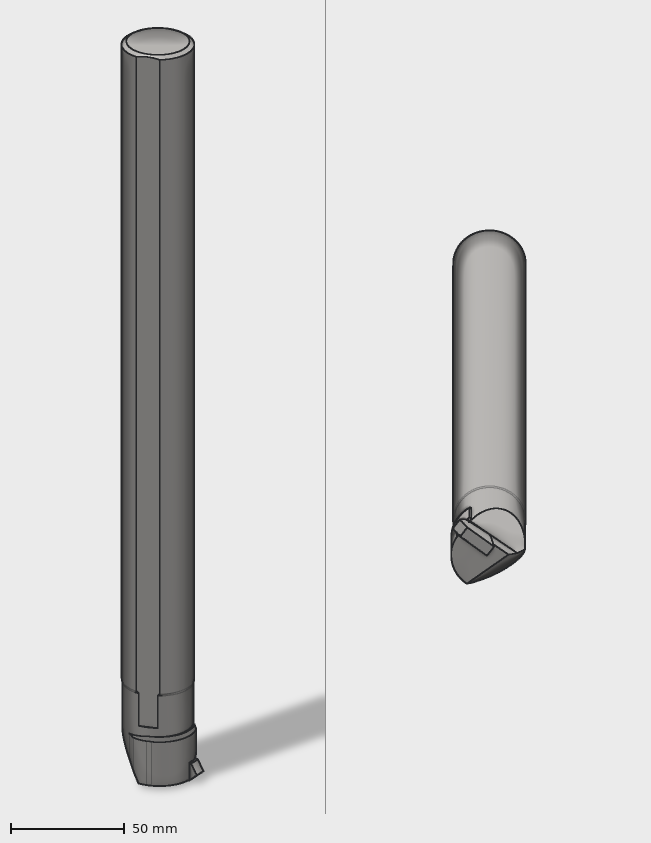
import cadquery as cq
import math

total_length = 356.5
bar_radius = 16.0
end_chamfer_width = 2.0
end_chamfer_height = 1.5

flat_depth = 0.93
flat_y = flat_depth - bar_radius
flat_bottom_z = 30.0

neck_step = 0.32
neck_radius = bar_radius - neck_step
neck_top_z = 45.5
neck_taper_height = 1.0
head_bottom_z = 2.0

boss_flat_y = -16.5
boss_flat_depth = 0.05
boss_radius = boss_flat_depth - boss_flat_y
boss_center_x = 0.7
boss_top_z = 25.5
boss_cone_height = 2.0
boss_back_y = 1.8

bevel_outer_x = -10.5
bevel_inner_x = -7.0
boss_bevel_outer = (bevel_outer_x, -math.sqrt(neck_radius**2 - bevel_outer_x**2))
boss_bevel_inner = (bevel_inner_x, -math.sqrt(boss_radius**2 - (bevel_inner_x - boss_center_x) ** 2))

slope_top = (-bar_radius, 25.0)
slope_bottom = (-4.3, head_bottom_z)

side_clearance_x = 16.0
side_clearance_top_z = 10.5

rake_angle = 17.0
rake_origin = (3.2, 5.0)
chip_ceiling_z = 11.0
chip_ceiling_angle = 49.0

insert_thickness = 5.5
insert_tip_x = 21.0
insert_end_u = (insert_tip_x - rake_origin[0]) / math.cos(math.radians(rake_angle))
insert_outline = [
    (0, 0),
    (14.5, 1.0),
    (insert_end_u, 4.5),
    (15.7, 9.5),
    (2.0, chip_ceiling_z),
]

clear = 71.3


def block(x_range, y_range, z_range):
    """Box filling the given coordinate ranges."""
    sizes = [end - start for start, end in (x_range, y_range, z_range)]
    corner = (x_range[0], y_range[0], z_range[0])
    return cq.Workplane("XY").box(*sizes, centered=False).translate(corner)


def place_on_rake(body):
    """Turn a body about Z and move it so that its XZ plane becomes the rake plane."""
    turned = body.rotate((0, 0, 0), (0, 0, 1), -rake_angle)
    return turned.translate((rake_origin[0], rake_origin[1], 0))


def make_bar():
    """Revolved bar and neck with a flat along one side."""
    profile = [
        (0, head_bottom_z),
        (neck_radius, head_bottom_z),
        (neck_radius, neck_top_z),
        (bar_radius, neck_top_z + neck_taper_height),
        (bar_radius, total_length - end_chamfer_height),
        (bar_radius - end_chamfer_width, total_length),
        (0, total_length),
    ]
    bar = cq.Workplane("XZ").polyline(profile).close().revolve(360, (0, 0), (0, 1))
    flat = block((-clear, clear), (-clear, flat_y), (flat_bottom_z, total_length))
    return bar.cut(flat)


def make_boss():
    """Coned boss with a narrow flat, a bevelled -X side and a straight back."""
    boss = (
        cq.Workplane("XY", origin=(boss_center_x, 0, head_bottom_z))
        .circle(boss_radius)
        .extrude(boss_top_z - head_bottom_z)
        .faces(">Z")
        .chamfer(boss_cone_height, boss_radius - neck_radius)
    )
    outline = [
        (boss_bevel_outer[0], boss_back_y),
        boss_bevel_outer,
        boss_bevel_inner,
        (boss_bevel_inner[0], boss_flat_y),
        (clear, boss_flat_y),
        (clear, boss_back_y),
    ]
    return boss.intersect(cq.Workplane("XY").polyline(outline).close().extrude(boss_top_z))


def make_slope_cutter():
    """Wedge that removes the -X side of the head."""
    outline = [slope_top, slope_bottom, (slope_bottom[0], -clear), (-clear, -clear), (-clear, slope_top[1])]
    return cq.Workplane("XZ").polyline(outline).close().extrude(clear, both=True)


def make_chip_cutter():
    """Chip space in front of the rake plane, under a rising ceiling."""
    ceiling_end_z = chip_ceiling_z + clear * math.tan(math.radians(chip_ceiling_angle))
    outline = [(0, -clear), (0, chip_ceiling_z), (clear, ceiling_end_z), (clear, -clear)]
    wedge = cq.Workplane("YZ").polyline(outline).close().extrude(clear, both=True)
    return place_on_rake(wedge)


def make_insert():
    """Cutting insert whose front face lies in the rake plane."""
    return place_on_rake(cq.Workplane("XZ").polyline(insert_outline).close().extrude(insert_thickness))


def make_holder(insert):
    """Boring bar with its shaped head and a pocket matching the insert."""
    side_clearance = block((side_clearance_x, clear), (-clear, clear), (0, side_clearance_top_z))
    return (
        make_bar()
        .union(make_boss())
        .cut(make_slope_cutter())
        .cut(make_chip_cutter())
        .cut(side_clearance)
        .cut(insert)
    )


insert = make_insert()
holder = make_holder(insert)

result = cq.Compound.makeCompound([holder.solids().val(), insert.val()])